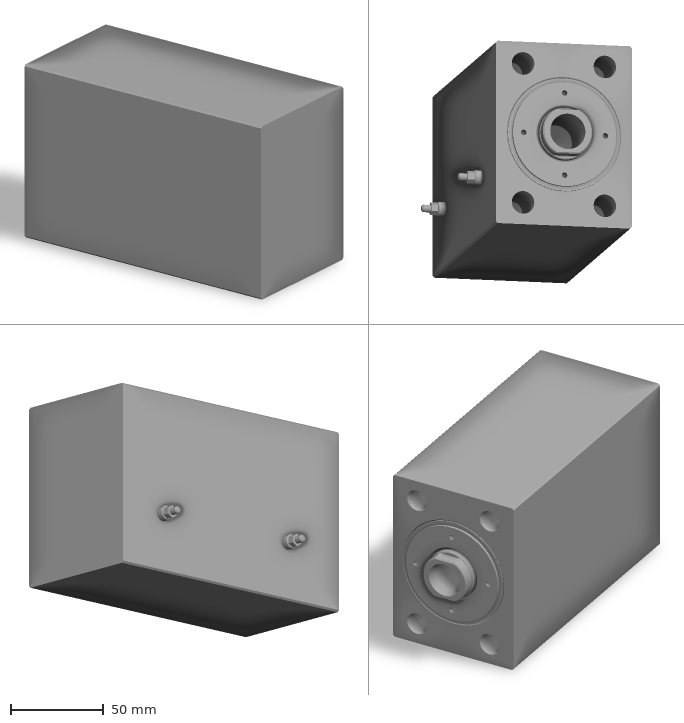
import cadquery as cq
import math


total_length = 167.0
rod_protrusion = 9.5
housing_length = total_length - rod_protrusion
housing_width = 75.0
housing_height = 100.0
edge_chamfer = 1.0

mount_hole_diameter = 12.4
mount_hole_depth = 30.0
mount_spacing_y = 45.1
mount_spacing_z = 76.2
drill_point_angle = 120.0

gland_diameter = 61.8
gland_depth = 20.0
gland_seat_chamfer = 0.7
gland_boss_diameter = 57.0
gland_boss_height = 1.5
gland_mouth_chamfer = 1.5
spanner_hole_diameter = 3.0
spanner_hole_depth = 4.0
spanner_circle_diameter = 45.1
spanner_hole_count = 4

rod_diameter = 28.4
rod_depth = 50.1
rod_shoulder_chamfer = 0.5
nose_diameter = 27.2
nose_length = 6.2
nose_chamfer = 0.7
wrench_flat_width = 24.2
rod_bore_diameter = 19.4
rod_bore_depth = 33.4

fitting_positions_x = (37.5, 128.6)
fitting_z = -18.0
fitting_height = 12.5
fitting_base_diameter = 7.8
fitting_base_height = 4.0
fitting_base_chamfer = 0.5
fitting_hex_flats = 6.0
fitting_hex_height = 3.7
fitting_tip_diameter = 4.0
fitting_tip_chamfer = 0.7


def cylinder_x(diameter, x_start, x_end):
    """Round bar on the X axis between two x positions."""
    return cq.Workplane("YZ", origin=(x_start, 0, 0)).circle(diameter / 2).extrude(x_end - x_start)


def drilled_hole(diameter, depth, x, y=0.0, z=0.0):
    """Cutter for a hole drilled toward +X from x, with a conical bottom below the full depth."""
    radius = diameter / 2
    point_length = radius / math.tan(math.radians(drill_point_angle / 2))
    return (
        cq.Workplane("XY")
        .polyline([(0, 0), (0, radius), (depth, radius), (depth + point_length, 0)])
        .close()
        .revolve(360, (0, 0, 0), (1, 0, 0))
        .translate((x, y, z))
    )


def make_housing():
    block = cq.Workplane("XY").box(housing_length, housing_width, housing_height, centered=(False, True, True))
    block = block.edges("|X").chamfer(edge_chamfer)

    block = block.cut(cylinder_x(gland_diameter, 0, gland_depth))
    block = block.cut(cylinder_x(rod_diameter, gland_depth, rod_depth))
    gland_mouth = cq.Workplane("YZ").circle(gland_diameter / 2 + gland_seat_chamfer)
    block = block.cut(gland_mouth.extrude(gland_seat_chamfer, taper=45))

    for side_y in (-1, 1):
        for side_z in (-1, 1):
            hole_y = side_y * mount_spacing_y / 2
            hole_z = side_z * mount_spacing_z / 2
            block = block.cut(drilled_hole(mount_hole_diameter, mount_hole_depth, 0, hole_y, hole_z))
    return block


def make_gland():
    disc = cylinder_x(gland_diameter, 0, gland_depth)
    boss = cylinder_x(gland_boss_diameter, -gland_boss_height, 0)
    gland = disc.union(boss)

    gland = gland.cut(cylinder_x(rod_diameter, -gland_boss_height, gland_depth))
    mouth = cq.Workplane("YZ", origin=(-gland_boss_height, 0, 0)).circle(rod_diameter / 2 + gland_mouth_chamfer)
    gland = gland.cut(mouth.extrude(gland_mouth_chamfer, taper=45))

    for index in range(spanner_hole_count):
        angle = 2 * math.pi * index / spanner_hole_count
        hole_y = spanner_circle_diameter / 2 * math.cos(angle)
        hole_z = spanner_circle_diameter / 2 * math.sin(angle)
        gland = gland.cut(
            drilled_hole(spanner_hole_diameter, spanner_hole_depth, -gland_boss_height, hole_y, hole_z)
        )
    return gland


def make_rod():
    nose_x = -rod_protrusion
    shoulder_x = nose_x + nose_length
    shaft = cylinder_x(rod_diameter, shoulder_x, rod_depth).faces("<X").chamfer(rod_shoulder_chamfer)

    nose = cylinder_x(nose_diameter, nose_x, shoulder_x)
    flats = cq.Workplane("XY").box(rod_depth, nose_diameter, wrench_flat_width).translate((nose_x, 0, 0))
    nose = nose.intersect(flats).faces("<X").chamfer(nose_chamfer)

    return shaft.union(nose).cut(drilled_hole(rod_bore_diameter, rod_bore_depth, nose_x))


def make_fitting(x):
    hex_y = fitting_base_height
    tip_y = hex_y + fitting_hex_height
    hex_corners = fitting_hex_flats / math.cos(math.pi / 6)

    base = cq.Workplane("XY").circle(fitting_base_diameter / 2).extrude(fitting_base_height)
    base = base.faces(">Z").chamfer(fitting_base_chamfer)
    hexagon = (
        cq.Workplane("XY", origin=(0, 0, hex_y))
        .transformed(rotate=(0, 0, 90))
        .polygon(6, hex_corners)
        .extrude(fitting_hex_height)
    )
    tip = cq.Workplane("XY", origin=(0, 0, tip_y)).circle(fitting_tip_diameter / 2).extrude(fitting_height - tip_y)
    tip = tip.faces(">Z").chamfer(fitting_tip_chamfer)

    fitting = base.union(hexagon).union(tip).rotate((0, 0, 0), (1, 0, 0), -90)
    return fitting.translate((x, housing_width / 2, fitting_z))


housing = make_housing()
gland = make_gland()
rod = make_rod()
fittings = [make_fitting(x) for x in fitting_positions_x]

result = cq.Compound.makeCompound(
    [housing.val(), gland.val(), rod.val(), *[fitting.val() for fitting in fittings]]
)